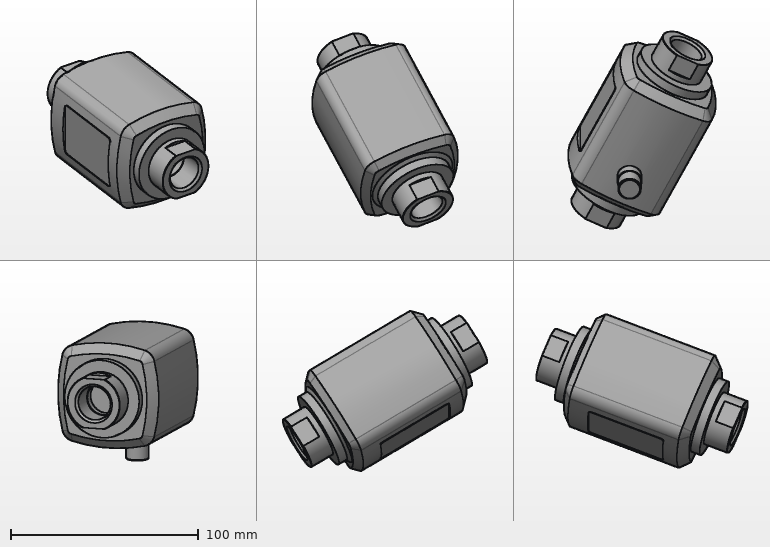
import cadquery as cq
import math

HALF_WIDTH = 28.5
SIDE_RADIUS = 85.0
CORNER_RADIUS = 7.5
HOUSING_LEFT = -35.0
HOUSING_RIGHT = 36.6
LEFT_CHAMFER = 4.0
RIGHT_CHAMFER = 5.0

END_X = 55.0
FLANGE_RADIUS = 21.0
FLANGE_X = 41.6
CONE_BASE_RADIUS = 23.4
CONE_TIP_X = -HOUSING_RIGHT
SPIGOT_RADIUS = 14.8
RIM_CHAMFER = 0.2
FLAT_LENGTH = 10.0
FLAT_HALF_HEIGHT = 13.4

BORE_RADIUS = 9.1
BORE_DEPTH = 15.0
BORE_MOUTH_RADIUS = 10.5
INNER_BORE_RADIUS = 8.8
INNER_BORE_DEPTH = 20.0

RECESS_LEFT = -19.7
RECESS_RIGHT = 23.4
RECESS_HEIGHT = 30.2
RECESS_CORNER_RADIUS = 2.0
RECESS_FLOOR = 26.9

CONNECTOR_X = -14.6
COLLAR_RADIUS = 6.5
COLLAR_BOTTOM = -34.0
PLUG_RADIUS = 6.1
PLUG_BOTTOM = -43.0
PLUG_CHAMFER = 0.6


def make_housing():
    side_center = SIDE_RADIUS - HALF_WIDTH
    corner = (math.sqrt(2 * SIDE_RADIUS**2 - side_center**2) - side_center) / 2
    prism = (
        cq.Workplane("YZ", origin=(HOUSING_LEFT, 0, 0))
        .moveTo(-corner, -corner)
        .threePointArc((0, -HALF_WIDTH), (corner, -corner))
        .threePointArc((HALF_WIDTH, 0), (corner, corner))
        .threePointArc((0, HALF_WIDTH), (-corner, corner))
        .threePointArc((-HALF_WIDTH, 0), (-corner, -corner))
        .close()
        .extrude(HOUSING_RIGHT - HOUSING_LEFT)
    )
    rounded = prism.edges("|X").fillet(CORNER_RADIUS)
    left_chamfered = rounded.faces("<X").chamfer(LEFT_CHAMFER)
    return left_chamfered.faces(">X").chamfer(RIGHT_CHAMFER)


def make_turned_core():
    return (
        cq.Workplane("XY")
        .moveTo(-END_X, 0)
        .lineTo(-END_X, SPIGOT_RADIUS - RIM_CHAMFER)
        .lineTo(-END_X + RIM_CHAMFER, SPIGOT_RADIUS)
        .lineTo(-FLANGE_X, SPIGOT_RADIUS)
        .lineTo(-FLANGE_X, FLANGE_RADIUS)
        .lineTo(CONE_TIP_X, FLANGE_RADIUS)
        .lineTo(HOUSING_LEFT, CONE_BASE_RADIUS)
        .lineTo(0, CONE_BASE_RADIUS)
        .lineTo(0, FLANGE_RADIUS)
        .lineTo(FLANGE_X, FLANGE_RADIUS)
        .lineTo(FLANGE_X, SPIGOT_RADIUS)
        .lineTo(END_X - RIM_CHAMFER, SPIGOT_RADIUS)
        .lineTo(END_X, SPIGOT_RADIUS - RIM_CHAMFER)
        .lineTo(END_X, 0)
        .close()
        .revolve(360, (0, 0, 0), (1, 0, 0))
    )


def make_bore(side):
    mouth_depth = BORE_MOUTH_RADIUS - BORE_RADIUS
    return (
        cq.Workplane("XY")
        .moveTo(side * END_X, 0)
        .lineTo(side * END_X, BORE_MOUTH_RADIUS)
        .lineTo(side * (END_X - mouth_depth), BORE_RADIUS)
        .lineTo(side * (END_X - BORE_DEPTH), BORE_RADIUS)
        .lineTo(side * (END_X - BORE_DEPTH), INNER_BORE_RADIUS)
        .lineTo(side * (END_X - INNER_BORE_DEPTH), INNER_BORE_RADIUS)
        .lineTo(side * (END_X - INNER_BORE_DEPTH), 0)
        .close()
        .revolve(360, (0, 0, 0), (1, 0, 0))
    )


def make_flat_cutter(side, direction):
    height = SPIGOT_RADIUS
    center_x = side * (END_X - FLAT_LENGTH / 2)
    center_z = direction * (FLAT_HALF_HEIGHT + height / 2)
    block = cq.Workplane("XY").box(FLAT_LENGTH, 2 * SPIGOT_RADIUS, height)
    return block.translate((center_x, 0, center_z))


def make_recess():
    length = RECESS_RIGHT - RECESS_LEFT
    depth = HALF_WIDTH - RECESS_FLOOR
    block = cq.Workplane("XY").box(length, depth, RECESS_HEIGHT)
    rounded = block.edges("|Y").fillet(RECESS_CORNER_RADIUS)
    return rounded.translate(((RECESS_LEFT + RECESS_RIGHT) / 2, -RECESS_FLOOR - depth / 2, 0))


def make_connector():
    top = cq.Workplane("XY", origin=(CONNECTOR_X, 0, 0))
    collar = top.circle(COLLAR_RADIUS).extrude(COLLAR_BOTTOM)
    plug = top.circle(PLUG_RADIUS).extrude(PLUG_BOTTOM)
    return collar.union(plug.faces("<Z").chamfer(PLUG_CHAMFER))


result = make_housing().union(make_turned_core()).union(make_connector())
result = result.cut(make_recess())
for end in (-1, 1):
    result = result.cut(make_bore(end))
    for vertical in (-1, 1):
        result = result.cut(make_flat_cutter(end, vertical))